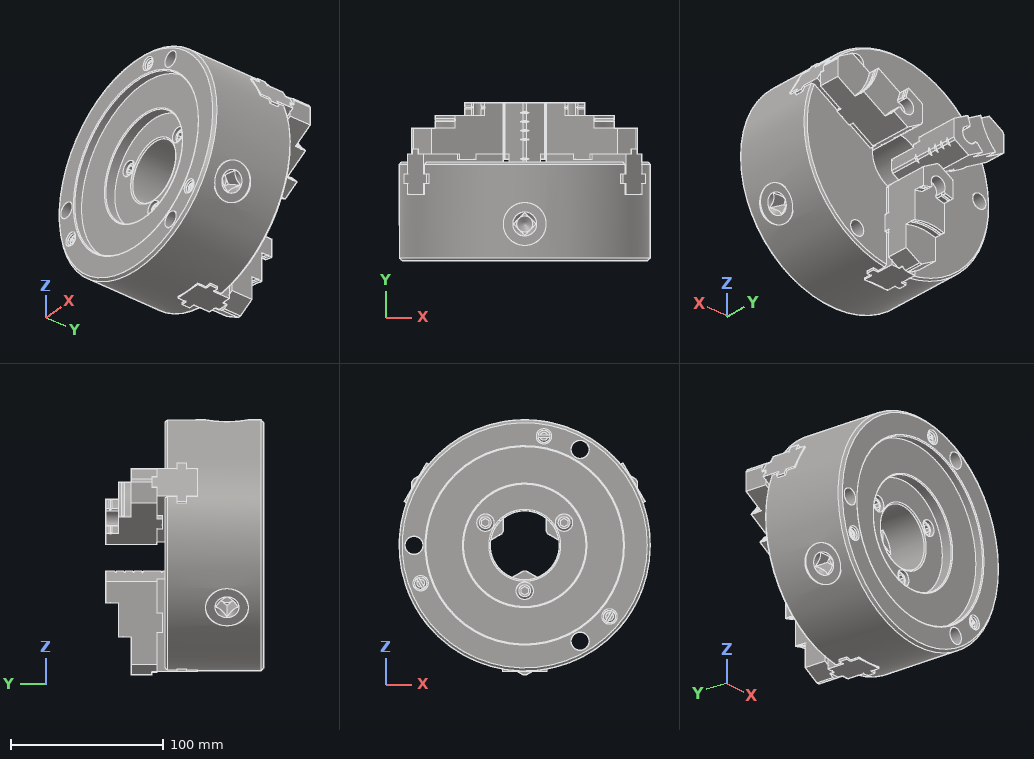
import cadquery as cq
import math


BODY_DIAMETER = 165.0
BODY_RADIUS = BODY_DIAMETER / 2
BODY_LENGTH = 65.0
BACK_CHAMFER = 2.0
FRONT_CHAMFER = 1.5
BORE_RADIUS = 22.6
BORE_CHAMFER = 1.0
REGISTER_RADIUS = 64.8
REGISTER_DEPTH = 6.4
INNER_RECESS_RADIUS = 40.2
INNER_RECESS_DEPTH = 8.2
RECESS_CHAMFER = 0.7
INNER_FLOOR = REGISTER_DEPTH + INNER_RECESS_DEPTH

BOLT_CIRCLE_RADIUS = 72.7
BOLT_HOLE_RADIUS = 5.9
SLOTTED_SCREW_RADIUS = 4.0
SLOTTED_SCREW_TOP_RADIUS = 2.5
SLOTTED_SCREW_DEPTH = 3.0
SLOTTED_HEAD_HEIGHT = 1.5
SCREWDRIVER_SLOT_WIDTH = 1.5
SCREWDRIVER_SLOT_TILT = 10
SCREW_RECESS_CHAMFER = 1.0
SOCKET_SCREW_CIRCLE_RADIUS = 29.8
SOCKET_SCREW_RADIUS = 5.7
SOCKET_SCREW_TOP_RADIUS = 3.9
SOCKET_SCREW_DEPTH = 3.4
SOCKET_HEAD_HEIGHT = 1.8
HEX_FLATS = 4.9
HEX_DEPTH = 4.2

PINION_Y = 24.3
PINION_RADIUS = 14.0
PINION_FLAT_RADIUS = math.sqrt(BODY_RADIUS**2 - PINION_RADIUS**2)
PINION_SQUARE = 10.5
PINION_SINK_RADIUS = 7.9
PINION_SOCKET_DEPTH = 15.0
PINION_TIP_DEPTH = 3.0

JAW_WIDTH = 26.3
FLANK_ANGLE = math.radians(30)
INNER_APEX = 16.2
INNER_TIP_WIDTH = 2.0
OVERALL_HEIGHT = 167.5
OUTER_END = OVERALL_HEIGHT - BODY_RADIUS
OUTER_TIP_WIDTH = 2.3
JAW_BOTTOM = 70.4
JAW_TOP = 104.0
STEP_HEIGHT = 8.4
UPPER_STEP_TOP = JAW_TOP
LOWER_STEP_TOP = JAW_TOP - STEP_HEIGHT
SHOULDER_TOP = JAW_TOP - 2 * STEP_HEIGHT
UPPER_STEP_END = 38.0
LOWER_STEP_END = 60.3
STEP_ARC_RADIUS = 41.9
STEP_LAND = 1.0
STEP_GROOVE_RISE = 5.2
STEP_GROOVE_WIDTH = 1.8
STEP_GROOVE_DEPTH = 0.7
RELIEF_RADIUS = 6.2
RELIEF_NECK_WIDTH = 10.7
RELIEF_CHAMFER = 1.2
TIP_NOTCH_COUNT = 4
TIP_NOTCH_PITCH = 5.9
FIRST_TIP_NOTCH_Y = 79.7
BASE_TIP_NOTCH_Y = 67.0
TIP_NOTCH_WIDTH = 2.0
TIP_NOTCH_FLOOR = 18.0

SLIDER_WIDTH = 20.8
SLIDER_BOTTOM = 43.7
SLIDER_END = 82.9
TONGUE_WIDTH = 29.3
TONGUE_BOTTOM = 50.8
TONGUE_TOP = 57.1
KEY_WIDTH = 8.0
KEY_TOP = 73.5
CROSS_KEY_BOTTOM = 66.7
CROSS_KEY_INNER = 44.4
CROSS_KEY_OUTER = 57.1

JAW_ANGLES = (30, 150, 270)
BOLT_ANGLES = (60, 180, 300)
SLOTTED_SCREW_ANGLES = (80, 200, 320)
PINION_ANGLES = (90, 210, 330)


def section(y):
    """Workplane across the spindle axis: local x is X, local y is Z, normal is -Y."""
    return cq.Workplane("XZ", origin=(0, y, 0))


def placed(feature, angles):
    """Copies of a feature modelled along +Z, turned to the given angles."""
    copies = cq.Workplane("XY")
    for angle in angles:
        copies = copies.add(feature.rotate((0, 0, 0), (0, 1, 0), 90 - angle))
    return copies.combine()


def slab(width, inner, outer, bottom, top):
    """Box centred across a jaw, between two radii and two heights."""
    center = (0, (bottom + top) / 2, (inner + outer) / 2)
    return cq.Workplane("XY", origin=center).box(width, top - bottom, outer - inner)


def pointed_slab(width, outer, bottom, top):
    """Slab whose inner end is the blunt 120 degree jaw point."""
    half = width / 2
    tip = INNER_TIP_WIDTH / 2
    slope = math.tan(FLANK_ANGLE)
    outline = [
        (-half, outer),
        (-half, INNER_APEX + half * slope),
        (-tip, INNER_APEX + tip * slope),
        (tip, INNER_APEX + tip * slope),
        (half, INNER_APEX + half * slope),
        (half, outer),
    ]
    return section(bottom).polyline(outline).close().extrude(bottom - top)


def cylinder(radius, height):
    """Cylinder along +Z from z = 0."""
    return cq.Workplane("XY").circle(radius).extrude(height)


def frustum(bottom_radius, top_radius, height):
    """Cone or cone frustum along +Z from z = 0."""
    return cq.Workplane("XY").add(cq.Solid.makeCone(bottom_radius, top_radius, height))


def facing_back(feature, radius, y):
    """Turn a feature from +Z to -Y and seat it at the given radius and y."""
    return feature.rotate((0, 0, 0), (1, 0, 0), 90).translate((0, y, radius))


def make_body():
    register_rim = REGISTER_RADIUS + RECESS_CHAMFER
    recess_rim = INNER_RECESS_RADIUS + RECESS_CHAMFER
    bore_rim = BORE_RADIUS + BORE_CHAMFER
    profile = [
        (register_rim, 0),
        (BODY_RADIUS - BACK_CHAMFER, 0),
        (BODY_RADIUS, BACK_CHAMFER),
        (BODY_RADIUS, BODY_LENGTH - FRONT_CHAMFER),
        (BODY_RADIUS - FRONT_CHAMFER, BODY_LENGTH),
        (BORE_RADIUS, BODY_LENGTH),
        (BORE_RADIUS, INNER_FLOOR + BORE_CHAMFER),
        (bore_rim, INNER_FLOOR),
        (INNER_RECESS_RADIUS, INNER_FLOOR),
        (INNER_RECESS_RADIUS, REGISTER_DEPTH + RECESS_CHAMFER),
        (recess_rim, REGISTER_DEPTH),
        (REGISTER_RADIUS, REGISTER_DEPTH),
        (REGISTER_RADIUS, RECESS_CHAMFER),
    ]
    return cq.Workplane("XY").polyline(profile).close().revolve(360, (0, 0), (0, 1))


def make_bolt_hole():
    return section(0).center(0, BOLT_CIRCLE_RADIUS).circle(BOLT_HOLE_RADIUS).extrude(-BODY_LENGTH)


def make_slotted_screw_cut():
    """Countersunk recess with the slotted, bevelled screw head left standing in it."""
    recess = cylinder(SLOTTED_SCREW_RADIUS, SLOTTED_SCREW_DEPTH)
    countersink = frustum(
        SLOTTED_SCREW_RADIUS, SLOTTED_SCREW_RADIUS + SCREW_RECESS_CHAMFER, SCREW_RECESS_CHAMFER
    ).translate((0, 0, SLOTTED_SCREW_DEPTH - SCREW_RECESS_CHAMFER))
    head = frustum(SLOTTED_SCREW_RADIUS, SLOTTED_SCREW_TOP_RADIUS, SLOTTED_HEAD_HEIGHT)
    slot = (
        cq.Workplane("XY")
        .rect(2 * SLOTTED_SCREW_RADIUS, SCREWDRIVER_SLOT_WIDTH)
        .extrude(SLOTTED_HEAD_HEIGHT)
        .rotate((0, 0, 0), (0, 0, 1), SCREWDRIVER_SLOT_TILT)
    )
    cut = recess.union(countersink).cut(head.cut(slot))
    return facing_back(cut, BOLT_CIRCLE_RADIUS, SLOTTED_SCREW_DEPTH)


def make_socket_screw_cut():
    """Counterbore with the bevelled hex-socket screw head left standing in it."""
    recess = cylinder(SOCKET_SCREW_RADIUS, SOCKET_SCREW_DEPTH)
    head = frustum(SOCKET_SCREW_RADIUS, SOCKET_SCREW_TOP_RADIUS, SOCKET_HEAD_HEIGHT)
    hex_corners = HEX_FLATS / math.cos(math.pi / 6)
    hexagon = (
        cq.Workplane("XY", origin=(0, 0, SOCKET_HEAD_HEIGHT))
        .polygon(6, hex_corners)
        .extrude(-HEX_DEPTH)
        .rotate((0, 0, 0), (0, 0, 1), 30)
    )
    cut = recess.cut(head).union(hexagon)
    return facing_back(cut, SOCKET_SCREW_CIRCLE_RADIUS, INNER_FLOOR + SOCKET_SCREW_DEPTH)


def make_pinion_cut():
    """Flat on the rim with a countersunk square socket ending in a drill point."""
    spot_face = cylinder(PINION_RADIUS, BODY_RADIUS - PINION_FLAT_RADIUS)
    socket = (
        cq.Workplane("XY")
        .rect(PINION_SQUARE, PINION_SQUARE)
        .extrude(-PINION_SOCKET_DEPTH)
        .rotate((0, 0, 0), (0, 0, 1), 45)
    )
    sink_depth = PINION_SINK_RADIUS - PINION_SQUARE / 2
    sink = frustum(PINION_SQUARE / 2, PINION_SINK_RADIUS, sink_depth).translate((0, 0, -sink_depth))
    point = frustum(0, PINION_SQUARE / 2, PINION_TIP_DEPTH).translate(
        (0, 0, -PINION_SOCKET_DEPTH - PINION_TIP_DEPTH)
    )
    cut = spot_face.union(socket).union(sink).union(point)
    return cut.translate((0, PINION_Y, PINION_FLAT_RADIUS))


def make_step_face_cut(end, bottom):
    """Hollow gripping arc and its V groove across the outer face of one step."""
    half_chord = JAW_WIDTH / 2 - STEP_LAND
    arc_center = end + math.sqrt(STEP_ARC_RADIUS**2 - half_chord**2)
    hollow = section(bottom).center(0, arc_center).circle(STEP_ARC_RADIUS).extrude(-STEP_HEIGHT)
    groove_y = bottom + STEP_GROOVE_RISE
    half_groove = STEP_GROOVE_WIDTH / 2
    groove_profile = [
        (0, groove_y - half_groove),
        (STEP_ARC_RADIUS, groove_y - half_groove),
        (STEP_ARC_RADIUS + STEP_GROOVE_DEPTH, groove_y),
        (STEP_ARC_RADIUS, groove_y + half_groove),
        (0, groove_y + half_groove),
    ]
    groove = (
        cq.Workplane("XY")
        .polyline(groove_profile)
        .close()
        .revolve(360, (0, 0), (0, 1))
        .translate((0, 0, arc_center))
    )
    return hollow.union(groove)


def make_relief_cut():
    """Chamfered keyhole relief that splits the upper step face into two pads."""
    half_chord = JAW_WIDTH / 2 - STEP_LAND
    half_neck = RELIEF_NECK_WIDTH / 2
    half_mouth = half_neck + RELIEF_CHAMFER
    arc_center = UPPER_STEP_END + math.sqrt(STEP_ARC_RADIUS**2 - half_chord**2)
    mouth_z = arc_center - math.sqrt(STEP_ARC_RADIUS**2 - half_mouth**2)
    neck_z = mouth_z - RELIEF_CHAMFER
    floor_z = neck_z - math.sqrt(RELIEF_RADIUS**2 - half_neck**2) - RELIEF_RADIUS
    return (
        section(LOWER_STEP_TOP)
        .moveTo(-half_neck, neck_z)
        .threePointArc((0, floor_z), (half_neck, neck_z))
        .lineTo(half_mouth, mouth_z)
        .lineTo(-half_mouth, mouth_z)
        .close()
        .extrude(-STEP_HEIGHT)
    )


def make_tip_notch(y):
    """V-shaped nick across the inner point of a jaw."""
    half_mouth = TIP_NOTCH_WIDTH / 2
    outline = [(y - half_mouth, INNER_APEX), (y + half_mouth, INNER_APEX), (y, TIP_NOTCH_FLOOR)]
    return cq.Workplane("YZ").polyline(outline).close().extrude(JAW_WIDTH / 2, both=True)


def make_stepped_jaw():
    half = JAW_WIDTH / 2
    tip = OUTER_TIP_WIDTH / 2
    shoulder_corner = OUTER_END - (half - tip) * math.tan(FLANK_ANGLE)
    shoulder = pointed_slab(JAW_WIDTH, shoulder_corner, JAW_BOTTOM, SHOULDER_TOP)
    outer_point = (
        section(JAW_BOTTOM)
        .polyline([(-half, shoulder_corner), (-tip, OUTER_END), (tip, OUTER_END), (half, shoulder_corner)])
        .close()
        .extrude(JAW_BOTTOM - SHOULDER_TOP)
    )
    lower_step = pointed_slab(JAW_WIDTH, LOWER_STEP_END, SHOULDER_TOP, LOWER_STEP_TOP)
    upper_step = pointed_slab(JAW_WIDTH, UPPER_STEP_END, LOWER_STEP_TOP, UPPER_STEP_TOP)
    lower_step = lower_step.cut(make_step_face_cut(LOWER_STEP_END, SHOULDER_TOP))
    upper_step = upper_step.cut(make_step_face_cut(UPPER_STEP_END, LOWER_STEP_TOP)).cut(make_relief_cut())
    key_opening = slab(KEY_WIDTH, SLIDER_END, OUTER_END, JAW_BOTTOM, KEY_TOP)
    return shoulder.union(outer_point).cut(key_opening).union(lower_step).union(upper_step)


def make_slider():
    block = pointed_slab(SLIDER_WIDTH, SLIDER_END, SLIDER_BOTTOM, JAW_BOTTOM)
    tongues = pointed_slab(TONGUE_WIDTH, SLIDER_END, TONGUE_BOTTOM, TONGUE_TOP)
    cross_key = slab(JAW_WIDTH, CROSS_KEY_INNER, CROSS_KEY_OUTER, CROSS_KEY_BOTTOM, JAW_BOTTOM)
    key_end = slab(KEY_WIDTH, CROSS_KEY_OUTER, SLIDER_END, JAW_BOTTOM, KEY_TOP)
    return block.union(tongues).union(cross_key).union(key_end)


def make_jaw():
    jaw = make_slider().union(make_stepped_jaw())
    notch_places = [FIRST_TIP_NOTCH_Y + i * TIP_NOTCH_PITCH for i in range(TIP_NOTCH_COUNT)]
    for y in [BASE_TIP_NOTCH_Y] + notch_places:
        jaw = jaw.cut(make_tip_notch(y))
    return jaw


body = make_body()
body = body.cut(placed(make_bolt_hole(), BOLT_ANGLES))
body = body.cut(placed(make_slotted_screw_cut(), SLOTTED_SCREW_ANGLES))
body = body.cut(placed(make_socket_screw_cut(), JAW_ANGLES))
body = body.cut(placed(make_pinion_cut(), PINION_ANGLES))

result = body
for jaw_angle in JAW_ANGLES:
    result = result.union(placed(make_jaw(), [jaw_angle]))